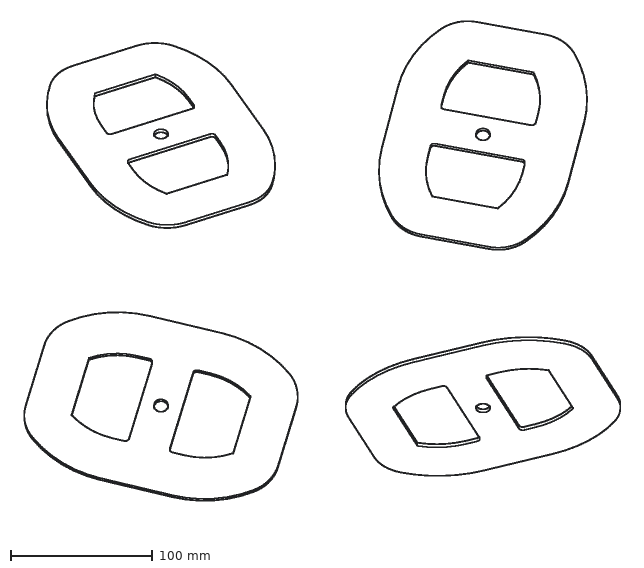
import cadquery as cq
import math

length = 185.0
width = 135.0
thickness = 3.0
top_flat_half = 26.5
side_flat_half = 24.8
corner_join_x = 81.2
corner_join_y = 48.3

rim = 33.3
bar_width = 30.0
window_corner_y = 23.7
window_fillet = 2.8
hole_diameter = 10.0

half_length = length / 2
half_width = width / 2
window_outer_x = half_length - rim
window_half_width = half_width - rim


def arc_middle(run, drop):
    """Middle of an arc that leaves a straight edge tangentially and ends at (run, drop)."""
    radius = (run**2 + drop**2) / (2 * drop)
    half_angle = math.atan2(drop, run)
    return radius * math.sin(half_angle), radius * (1 - math.cos(half_angle))


def with_mirror(body, plane):
    return body.union(body.mirror(plane), clean=True)


def plate():
    """Rounded plate, built as one quarter and mirrored across both center planes."""
    run, drop = arc_middle(corner_join_y - side_flat_half, half_length - corner_join_x)
    corner_middle = (half_length - drop, side_flat_half + run)
    quarter = (
        cq.Workplane("XY")
        .lineTo(0, half_width)
        .lineTo(top_flat_half, half_width)
        .tangentArcPoint((corner_join_x, corner_join_y), relative=False)
        .threePointArc(corner_middle, (half_length, side_flat_half))
        .lineTo(half_length, 0)
        .close()
        .extrude(thickness)
    )
    return with_mirror(with_mirror(quarter, "YZ"), "XZ")


def windows():
    """Both window cutters, with rounded corners next to the bar only."""
    upper_right = (
        cq.Workplane("XY")
        .moveTo(bar_width / 2, 0)
        .lineTo(bar_width / 2, window_half_width)
        .lineTo(top_flat_half, window_half_width)
        .tangentArcPoint((window_outer_x, window_corner_y), relative=False)
        .lineTo(window_outer_x, 0)
        .close()
        .extrude(thickness)
        .edges("|Z and <X and >Y")
        .fillet(window_fillet)
    )
    right_window = with_mirror(upper_right, "XZ")
    return with_mirror(right_window, "YZ")


center_hole = cq.Workplane("XY").circle(hole_diameter / 2).extrude(thickness)

result = plate().cut(windows()).cut(center_hole)